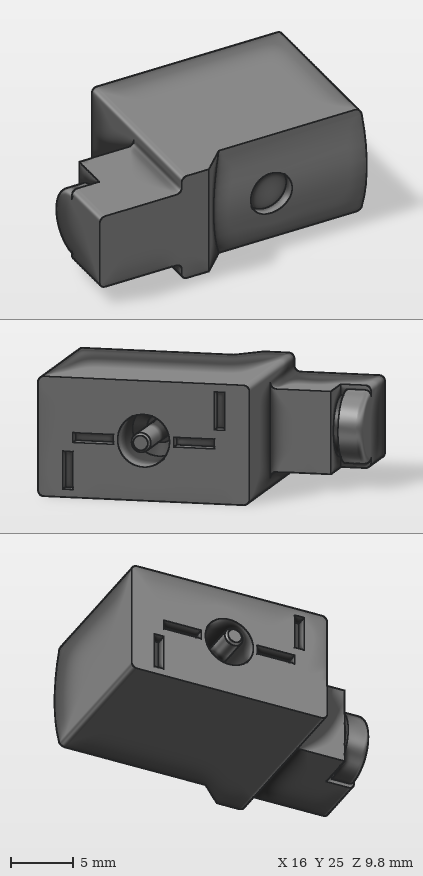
import cadquery as cq

body_left = 1.0
body_right = 16.0
body_front = 7.5
body_rear = 25.0
height = 9.8
mid_z = height / 2
edge_radius = 0.5

crown_edge_x = 14.0
crown_top_x = 15.05
step_y = 10.0
slope_end_y = step_y + body_right - crown_edge_x

neck_left = 8.0
neck_width = 6.78
notch_depth = 2.5
button_x = 11.35
button_radius = 3.0
stem_radius = 2.5
button_thickness = 2.0

screw_y = (body_front + body_rear) / 2
seat_diameter = 4.3
seat_floor_diameter = 2.4
well_depth = 5.0
seat_depth = 0.95
seat_floor_x = body_left + well_depth + seat_depth
pin_diameter = 1.6
pin_chamfer = 0.2
rear_bore_diameter = 3.8
rear_bore_depth = 1.0

slot_depth = 1.0
slot_thickness = 0.8
slot_length = 3.35
slot_offset = 4.18
side_slot_thickness = 0.85
side_slot_length = 3.1
side_slot_offset_y = 6.28
side_slot_offset_z = 2.7


def box(x0, x1, y0, y1, z0, z1):
    return cq.Workplane("XY").box(x1 - x0, y1 - y0, z1 - z0, centered=False).translate((x0, y0, z0))


def screw_plane(x):
    """YZ workplane at the given X, centred on the screw axis."""
    return cq.Workplane("YZ", origin=(x, screw_y, mid_z))


def button_disc(radius, y_front, thickness):
    """Disc lying along Y, starting at y_front."""
    plane = cq.Workplane("XZ", origin=(button_x, y_front + thickness, mid_z))
    return plane.circle(radius).extrude(thickness)


def make_body():
    block = box(body_left, body_right, body_front, body_rear, 0, height)
    block = block.edges("|X").fillet(edge_radius)
    stepped = (
        cq.Workplane("XY")
        .moveTo(body_left, body_front)
        .lineTo(body_right, body_front)
        .lineTo(body_right, step_y)
        .lineTo(crown_edge_x, slope_end_y)
        .lineTo(crown_edge_x, body_rear)
        .lineTo(body_left, body_rear)
        .close()
        .extrude(height)
    )
    crown = (
        cq.Workplane("XZ", origin=(0, body_rear, 0))
        .moveTo(body_left, 0)
        .lineTo(crown_edge_x, 0)
        .threePointArc((crown_top_x, mid_z), (crown_edge_x, height))
        .lineTo(body_left, height)
        .close()
        .extrude(body_rear - step_y)
    )
    return block.intersect(stepped.union(crown))


def make_neck():
    half = neck_width / 2
    low = mid_z - half
    high = mid_z + half
    neck = box(neck_left, body_right, 0, body_front, low, high)
    neck = neck.edges("|X and <Y").fillet(edge_radius)
    neck = neck.cut(box(neck_left, button_x, 0, notch_depth, low, high))
    blend_y = body_front - edge_radius
    for side in (-1, 1):
        face = mid_z + side * half
        outer = face + side * edge_radius
        strip = box(neck_left, body_right, blend_y, body_front, min(face, outer), max(face, outer))
        groove = (
            cq.Workplane("YZ", origin=(neck_left, blend_y, outer))
            .circle(edge_radius)
            .extrude(body_right - neck_left)
        )
        neck = neck.union(strip.cut(groove))
    return neck


def make_button():
    button = button_disc(button_radius, 0, button_thickness).faces("<Y").edges().fillet(edge_radius)
    stem = button_disc(stem_radius, button_thickness, notch_depth - button_thickness)
    return button.union(stem)


def make_screw_seat():
    """Round well in the left face, narrowing through a cone to a flat floor."""
    well = screw_plane(body_left).circle(seat_diameter / 2).extrude(well_depth)
    cone = cq.Solid.makeCone(
        seat_diameter / 2,
        seat_floor_diameter / 2,
        seat_depth,
        pnt=cq.Vector(body_left + well_depth, screw_y, mid_z),
        dir=cq.Vector(1, 0, 0),
    )
    return well.union(cq.Workplane(obj=cone))


def make_pin():
    pin = screw_plane(0).circle(pin_diameter / 2).extrude(seat_floor_x)
    return pin.faces("<X").chamfer(pin_chamfer)


def make_slots():
    flat = screw_plane(body_left).pushPoints([(-slot_offset, 0), (slot_offset, 0)])
    flat = flat.rect(slot_length, slot_thickness).extrude(slot_depth)
    upright = screw_plane(body_left).pushPoints(
        [(-side_slot_offset_y, side_slot_offset_z), (side_slot_offset_y, -side_slot_offset_z)]
    )
    upright = upright.rect(side_slot_thickness, side_slot_length).extrude(slot_depth)
    return flat, upright


def make_rear_bore():
    floor_x = crown_top_x - rear_bore_depth
    return screw_plane(floor_x).circle(rear_bore_diameter / 2).extrude(rear_bore_depth)


result = make_body().union(make_neck()).union(make_button())
result = result.cut(make_screw_seat()).cut(make_rear_bore())
for slots in make_slots():
    result = result.cut(slots)
result = result.union(make_pin())